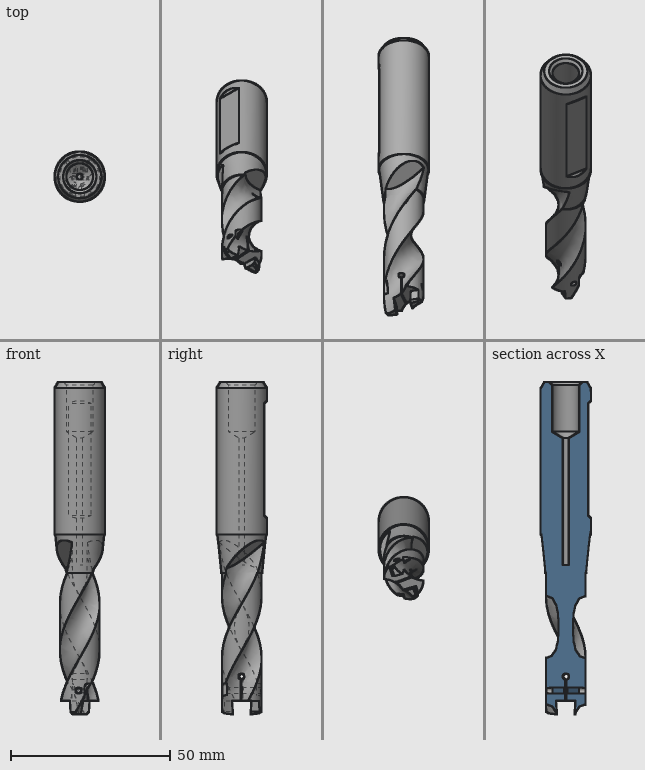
import cadquery as cq
import math

TOTAL_LENGTH = 104.6
SHANK_RADIUS = 8.0
SHANK_BOTTOM_Z = 56.6
SHANK_CHAMFER_HEIGHT = 2.0
SHANK_CHAMFER_WIDTH = 1.2

FLAT_Y = 7.1
FLAT_BOTTOM_Z = 62.6
FLAT_TOP_Z = 97.8

BORE_RADIUS = 4.2
BORE_DEPTH = 15.7
BORE_CHAMFER = 1.0
BORE_POINT_ANGLE = 118.0
COOLANT_RADIUS = 0.9
COOLANT_BOTTOM_Z = 47.1

NECK_TOP_RADIUS = 7.7
NECK_BOTTOM_RADIUS = 6.5
BODY_RADIUS = 6.3
BODY_TOP_Z = 44.6
TIP_CORE_RADIUS = 2.8
TIP_BEVEL_RADIUS = 5.5
TIP_BEVEL_Z = 0.3
TIP_RIM_Z = 0.8

FLUTE_COUNT = 2
HELIX_ANGLE = 30.0
LEAD = 2 * math.pi * BODY_RADIUS / math.tan(math.radians(HELIX_ANGLE))
WEB_RADIUS = 2.3
LAND_HALF_ANGLE = 39.0
FLUTE_OUTER_RADIUS = 9.4
FLUTE_BOTTOM_Z = -1.0

RUNOUT_WALL_X = 5.8
RUNOUT_WALL_Z = 50.8
RUNOUT_WALL_RISE = 39.0
RUNOUT_WALL_TILT = 29.0

SEAT_DEPTH = 4.3
SEAT_TOP_HALF_WIDTH = 3.0
SEAT_MOUTH_HALF_WIDTH = 2.7
JAW_ROOT_HALF_LENGTH = 3.1
JAW_END_HALF_LENGTH = 2.9
JAW_CHAMFER_WIDTH = 0.7
JAW_CHAMFER_HEIGHT = 0.9

POCKET_SIDE_X = 1.6
POCKET_FLOOR_Y = -4.7
POCKET_TOP_Z = 9.7
POCKET_CORNER_RADIUS = 1.0

SLIT_TURN = -4.3
SLIT_WIDTH = 0.3
RELIEF_HOLE_RADIUS = 0.89
RELIEF_HOLE_Z = 11.9

PIN_RADIUS = 0.89
PIN_Z = 7.5
PIN_INNER_END = 0.5
PIN_OUTER_END = 4.2

REACH = 2 * SHANK_RADIUS


def flute_copies(shape):
    """The shape and its copies spread evenly around Z, one per flute."""
    step = 360.0 / FLUTE_COUNT
    return [shape.rotate((0, 0, 0), (0, 0, 1), i * step) for i in range(FLUTE_COUNT)]


def polar(radius, angle):
    """Point at a distance from the origin and an angle in degrees from the first axis."""
    return (radius * math.cos(math.radians(angle)), radius * math.sin(math.radians(angle)))


def make_blank():
    """Turned shape of the shank, the neck cone and the body with its bevelled end."""
    return (
        cq.Workplane("XZ")
        .polyline([
            (0, 0),
            (TIP_CORE_RADIUS, 0),
            (TIP_BEVEL_RADIUS, TIP_BEVEL_Z),
            (BODY_RADIUS, TIP_RIM_Z),
            (BODY_RADIUS, BODY_TOP_Z),
            (NECK_BOTTOM_RADIUS, BODY_TOP_Z),
            (NECK_TOP_RADIUS, SHANK_BOTTOM_Z),
            (SHANK_RADIUS, SHANK_BOTTOM_Z),
            (SHANK_RADIUS, TOTAL_LENGTH - SHANK_CHAMFER_HEIGHT),
            (SHANK_RADIUS - SHANK_CHAMFER_WIDTH, TOTAL_LENGTH),
            (0, TOTAL_LENGTH),
        ])
        .close()
        .revolve(360, (0, 0, 0), (0, 1, 0))
    )


def make_shank_flat():
    """Block that cuts the flat and slopes out at 45 degrees at both of its ends."""
    depth = SHANK_RADIUS - FLAT_Y
    return (
        cq.Workplane("YZ", origin=(-REACH / 2, 0, 0))
        .polyline([
            (FLAT_Y, FLAT_BOTTOM_Z),
            (FLAT_Y + 2 * depth, FLAT_BOTTOM_Z - 2 * depth),
            (FLAT_Y + 2 * depth, FLAT_TOP_Z + 2 * depth),
            (FLAT_Y, FLAT_TOP_Z),
        ])
        .close()
        .extrude(REACH)
    )


def make_coolant_bore():
    """Chamfered bore with a drilled point that runs into a narrow central duct."""
    bore_bottom = TOTAL_LENGTH - BORE_DEPTH
    point_height = (BORE_RADIUS - COOLANT_RADIUS) / math.tan(math.radians(BORE_POINT_ANGLE / 2))
    return (
        cq.Workplane("XZ")
        .polyline([
            (0, COOLANT_BOTTOM_Z),
            (COOLANT_RADIUS, COOLANT_BOTTOM_Z),
            (COOLANT_RADIUS, bore_bottom - point_height),
            (BORE_RADIUS, bore_bottom),
            (BORE_RADIUS, TOTAL_LENGTH - BORE_CHAMFER),
            (BORE_RADIUS + BORE_CHAMFER, TOTAL_LENGTH),
            (0, TOTAL_LENGTH),
        ])
        .close()
        .revolve(360, (0, 0, 0), (0, 1, 0))
    )


def flute_section(workplane):
    """Flute outline opening toward +X: an arc from land to land, closed outside the body."""
    lower_edge = polar(BODY_RADIUS, LAND_HALF_ANGLE - 90)
    upper_edge = polar(BODY_RADIUS, 90 - LAND_HALF_ANGLE)
    return (
        workplane.moveTo(*lower_edge)
        .threePointArc((WEB_RADIUS, 0), upper_edge)
        .lineTo(*polar(FLUTE_OUTER_RADIUS, 90 - LAND_HALF_ANGLE))
        .threePointArc((FLUTE_OUTER_RADIUS, 0), polar(FLUTE_OUTER_RADIUS, LAND_HALF_ANGLE - 90))
        .close()
    )


def make_helical_flute():
    """Twisted flute that opens squarely toward +X at the top of the body."""
    height = BODY_TOP_Z - FLUTE_BOTTOM_Z
    turn = 360.0 * height / LEAD
    section = flute_section(cq.Workplane("XY"))
    return (
        section.twistExtrude(height, turn)
        .rotate((0, 0, 0), (0, 0, 1), -turn)
        .translate((0, 0, FLUTE_BOTTOM_Z))
    )


def make_flute_runout():
    """Straight run-out along the helix tangent, stopped by a sloping end wall."""
    path = cq.Workplane("YZ").lineTo(*polar(REACH, 90 - HELIX_ANGLE))
    runout = flute_section(cq.Workplane("XY")).sweep(path).translate((0, 0, BODY_TOP_Z))
    along_y, along_z = polar(1, RUNOUT_WALL_RISE)
    across, inward = polar(1, RUNOUT_WALL_TILT)
    end_wall = cq.Plane(
        origin=(RUNOUT_WALL_X, 0, RUNOUT_WALL_Z),
        xDir=(0, along_y, along_z),
        normal=(-inward, -along_z * across, along_y * across),
    )
    below_wall = cq.Workplane(end_wall).rect(4 * REACH, 4 * REACH).extrude(-2 * REACH)
    return runout.intersect(below_wall)


def make_tip_seat():
    """Dovetail slot along X between the jaws, and the spaces beyond both jaw ends."""
    seat = (
        cq.Workplane("YZ", origin=(-REACH / 2, 0, 0))
        .polyline([
            (-SEAT_MOUTH_HALF_WIDTH, 0),
            (SEAT_MOUTH_HALF_WIDTH, 0),
            (SEAT_TOP_HALF_WIDTH, SEAT_DEPTH),
            (-SEAT_TOP_HALF_WIDTH, SEAT_DEPTH),
        ])
        .close()
        .extrude(REACH)
    )
    end_gap = (
        cq.Workplane("XZ", origin=(0, REACH / 2, 0))
        .polyline([
            (JAW_END_HALF_LENGTH - JAW_CHAMFER_WIDTH, 0),
            (JAW_END_HALF_LENGTH, JAW_CHAMFER_HEIGHT),
            (JAW_ROOT_HALF_LENGTH, SEAT_DEPTH),
            (REACH, SEAT_DEPTH),
            (REACH, 0),
        ])
        .close()
        .extrude(REACH)
    )
    for gap in flute_copies(end_gap):
        seat = seat.union(gap)
    return seat


def make_flank_pocket():
    """Flat-floored pocket on the -Y land, open downward and toward +X."""
    return (
        cq.Workplane("XY")
        .box(REACH, REACH, POCKET_TOP_Z, centered=False)
        .edges("|Y and <X and >Z")
        .fillet(POCKET_CORNER_RADIUS)
        .translate((POCKET_SIDE_X, POCKET_FLOOR_Y - REACH, 0))
    )


def make_clamping_slit():
    """Narrow slit above the seat with its cross hole, turned slightly from the X axis."""
    slit = cq.Workplane("XY").box(REACH, SLIT_WIDTH, RELIEF_HOLE_Z, centered=(True, True, False))
    relief_hole = (
        cq.Workplane("YZ", origin=(-REACH / 2, 0, RELIEF_HOLE_Z))
        .circle(RELIEF_HOLE_RADIUS)
        .extrude(REACH)
    )
    return slit.union(relief_hole).rotate((0, 0, 0), (0, 0, 1), SLIT_TURN)


def pin_cylinder(start, end):
    """Cylinder square to the slit, between two distances from the Z axis on the -Y side."""
    return (
        cq.Workplane("XZ", origin=(0, -start, PIN_Z))
        .circle(PIN_RADIUS)
        .extrude(end - start)
        .rotate((0, 0, 0), (0, 0, 1), SLIT_TURN)
    )


def make_holder():
    holder = make_blank().cut(make_shank_flat()).cut(make_coolant_bore())
    for cutter in (make_helical_flute(), make_flute_runout(), make_flank_pocket(),
                   pin_cylinder(0, REACH)):
        for copy in flute_copies(cutter):
            holder = holder.cut(copy)
    return holder.cut(make_tip_seat()).cut(make_clamping_slit())


def make_clamping_pin():
    return pin_cylinder(PIN_INNER_END, PIN_OUTER_END)


holder = make_holder()
clamping_pins = flute_copies(make_clamping_pin())

result = cq.Compound.makeCompound([holder.val(), *[pin.val() for pin in clamping_pins]])